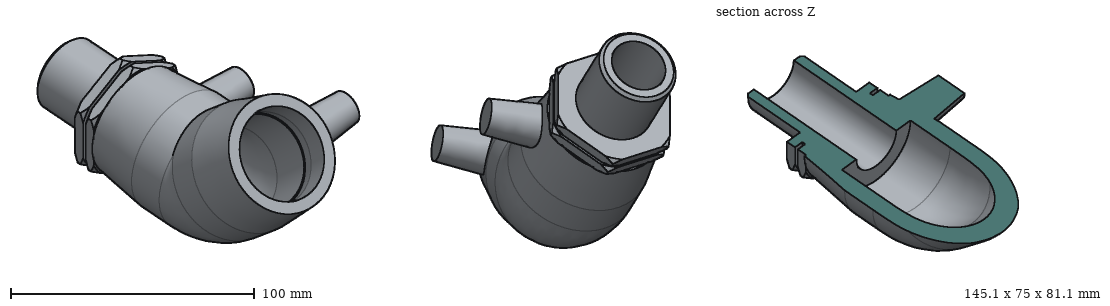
import cadquery as cq
import math

bend_angle = 45
bend_x = 92.0
bend_tangent = 8.1
straight_length = 16.1
leg_length = 49.9
body_radius = 56.0 / 2
mouth_radius = 50.3 / 2

bore_tangent = 10.7
bore_radius = 40.0 / 2
socket_root_radius = 20.6
socket_depth = 16.7
socket_lead = 11.0

spigot_radius = 33.2 / 2
spigot_chamfer = 1.5
spigot_bore_radius = 23.3 / 2
nut_start = 31.0
nut_width = 4.8
nut_gap = 1.5
nut_corner_diameter = 56.0
nut_chamfer_length = 1.6
nut_chamfer_depth = 1.9
collar_radius = 40.0 / 2

post_position = 36.0
post_tip_y = 47.0
post_root_y = 21.8
post_tip_radius = 7.5
post_root_radius = 9.5

half_angle = math.radians(bend_angle / 2)
straight_end = bend_tangent + straight_length
body_start = bend_x - leg_length


def rod(radius, start, end):
    """Cylinder on the X axis from start to end."""
    return cq.Workplane("YZ").workplane(offset=start).circle(radius).extrude(end - start)


def inlet_to_outlet(solid):
    """Swing a solid from the inlet leg onto the rising leg."""
    mirrored = solid.mirror("YZ", (bend_x, 0, 0))
    return mirrored.rotate((bend_x, 0, 0), (bend_x, -1, 0), bend_angle)


def bend(radius, tangent):
    """Round elbow joining the two legs, turning about an axis above the bend."""
    centre_height = tangent / math.tan(half_angle)
    start_x = bend_x - tangent
    section = cq.Workplane("YZ").workplane(offset=start_x)
    if radius < centre_height:
        section = section.circle(radius)
    else:
        half_chord = math.sqrt(radius**2 - centre_height**2)
        section = (
            section.moveTo(-half_chord, centre_height)
            .threePointArc((0, -radius), (half_chord, centre_height))
            .close()
        )
    return section.revolve(bend_angle, (0, centre_height), (-1, centre_height))


def leg():
    """Straight length next to the bend, narrowing to the mouth."""
    outline = (
        cq.Workplane("XZ")
        .moveTo(body_start, 0)
        .lineTo(body_start, mouth_radius)
        .lineTo(bend_x - straight_end, body_radius)
        .lineTo(bend_x - bend_tangent, body_radius)
        .lineTo(bend_x - bend_tangent, 0)
        .close()
    )
    return outline.revolve(360, (0, 0), (1, 0))


def socket():
    """Mouth recess of a leg, slightly flared at its inner end."""
    outline = (
        cq.Workplane("XZ")
        .moveTo(body_start, 0)
        .lineTo(body_start, bore_radius)
        .lineTo(body_start + socket_lead, bore_radius)
        .lineTo(body_start + socket_depth, socket_root_radius)
        .lineTo(body_start + socket_depth, 0)
        .close()
    )
    return outline.revolve(360, (0, 0), (1, 0))


def post():
    """Tapered post on the inlet leg, rooted in the wall."""
    root = cq.Workplane("XZ", origin=(bend_x - post_position, post_root_y, 0)).circle(post_root_radius)
    return root.workplane(offset=post_root_y - post_tip_y).circle(post_tip_radius).loft(ruled=True)


def nut(start):
    """Hexagon with corners up and down, both faces chamfered."""
    end = start + nut_width
    corner_radius = nut_corner_diameter / 2
    face_radius = corner_radius - nut_chamfer_depth
    hexagon = (
        cq.Workplane("YZ").workplane(offset=start)
        .transformed(rotate=(0, 0, 90))
        .polygon(6, nut_corner_diameter)
        .extrude(nut_width)
    )
    envelope = (
        cq.Workplane("XZ")
        .moveTo(start, 0)
        .lineTo(start, face_radius)
        .lineTo(start + nut_chamfer_length, corner_radius)
        .lineTo(end - nut_chamfer_length, corner_radius)
        .lineTo(end, face_radius)
        .lineTo(end, 0)
        .close()
        .revolve(360, (0, 0), (1, 0))
    )
    return hexagon.intersect(envelope)


elbow = bend(body_radius, bend_tangent).union(leg()).union(inlet_to_outlet(leg()))
elbow = elbow.union(post()).union(inlet_to_outlet(post()))

bore = rod(bore_radius, body_start + socket_depth, bend_x - bore_tangent)
elbow = elbow.cut(bore).cut(inlet_to_outlet(bore)).cut(bend(bore_radius, bore_tangent))
elbow = elbow.cut(inlet_to_outlet(socket()))

spigot = rod(spigot_radius, 0, nut_start + nut_width).faces("<X").chamfer(spigot_chamfer)
collar = rod(collar_radius, nut_start, body_start)
fitting = spigot.union(collar)
for index in range(2):
    fitting = fitting.union(nut(nut_start + index * (nut_width + nut_gap)))

result = elbow.union(fitting).cut(rod(spigot_bore_radius, 0, body_start + socket_depth))